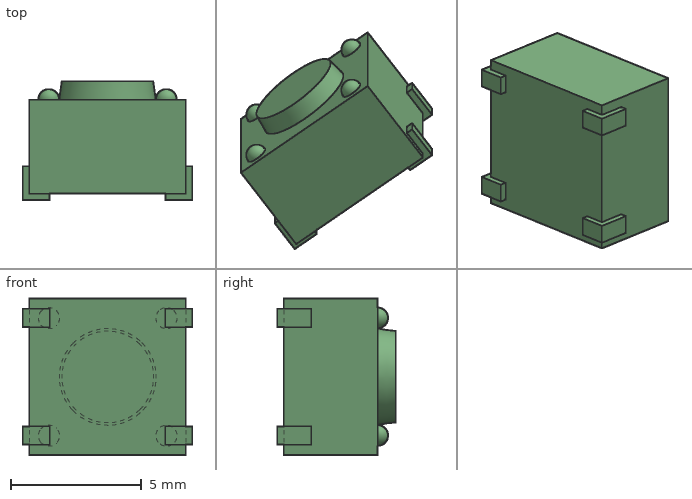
import cadquery as cq

overall_width = 6.5
overall_depth = 4.55

housing_side = 6.0
button_height = 0.7
terminal_thickness = (overall_width - housing_side) / 2
housing_depth = overall_depth - button_height - terminal_thickness

button_base_radius = 1.85
button_top_radius = 1.755

corner_offset = 2.25
rivet_radius = 0.4

terminal_height = 0.7
terminal_foot_length = 1.04
terminal_side_length = 1.3


def make_housing():
    """Block with its -Y face on the plane Y = 0."""
    return cq.Workplane("XY").box(
        housing_side, housing_depth, housing_side, centered=(True, False, True)
    )


def make_button():
    """Truncated cone along +Y, narrowing away from the housing."""
    top_y = housing_depth + button_height
    half_section = [
        (0, housing_depth),
        (-button_base_radius, housing_depth),
        (-button_top_radius, top_y),
        (0, top_y),
    ]
    profile = cq.Workplane("XY").polyline(half_section).close()
    return profile.revolve(360, (0, 0), (0, 1))


def make_rivet(x, z):
    """Hemisphere standing on the +Y face."""
    quarter_disc = (
        cq.Workplane("XY")
        .lineTo(-rivet_radius, 0)
        .radiusArc((0, rivet_radius), rivet_radius)
        .close()
    )
    dome = quarter_disc.revolve(360, (0, 0), (0, 1))
    return dome.translate((x, housing_depth, z))


def make_terminal(side, z):
    """L-shaped strip: a foot under the -Y face and a leg up the X side."""
    outer_x = side * overall_width / 2
    side_face_x = side * housing_side / 2
    foot_end_x = outer_x - side * terminal_foot_length
    leg_end_y = terminal_side_length - terminal_thickness
    outline = [
        (foot_end_x, -terminal_thickness),
        (outer_x, -terminal_thickness),
        (outer_x, leg_end_y),
        (side_face_x, leg_end_y),
        (side_face_x, 0),
        (foot_end_x, 0),
    ]
    strip = cq.Workplane("XY").polyline(outline).close().extrude(terminal_height)
    return strip.translate((0, 0, z - terminal_height / 2))


result = make_housing().union(make_button())
for x_side in (-1, 1):
    for z_side in (-1, 1):
        corner_x = x_side * corner_offset
        corner_z = z_side * corner_offset
        result = result.union(make_rivet(corner_x, corner_z))
        result = result.union(make_terminal(x_side, corner_z))